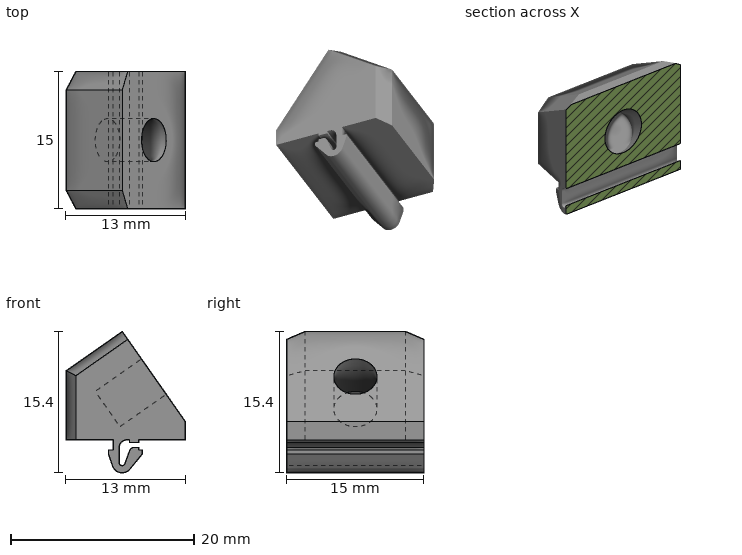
import cadquery as cq
import math

width = 15.0
length = 13.0
total_height = 15.43
clip_depth = 3.6
apex_z = total_height - clip_depth
front_wall = 1.99
slope_angle = math.radians(55)
apex_x = length - (apex_z - front_wall) / math.tan(slope_angle)
back_wall = apex_z - apex_x / math.tan(slope_angle)

bevel_inset = 1.05
bevel_width = 2.0

hole_diameter = 4.7
hole_depth = 6.17

stem_left = 5.1
stem_right = 5.79
barb_left = 4.58
barb_right = 8.32
barb_top = -1.1
barb_bottom = -1.51
slot_radius = 0.31
bend_radius = 1.11
bend_x = stem_right + slot_radius
bend_z = bend_radius - clip_depth
root_radius = 0.83
arm_top = -0.8
arm_right = 7.92
arm_radius = 0.54
arm_lean = math.radians(20)

pad_left = 6.88
pad_depth = 0.3


def polar(center_x, center_z, radius, angle):
    return (center_x + radius * math.cos(angle), center_z + radius * math.sin(angle))


def bend_tangent(x, z, side):
    """Point where the line from (x, z) touches the bend; side is +1 or -1."""
    dx = x - bend_x
    dz = z - bend_z
    angle = math.atan2(dz, dx) + side * math.acos(bend_radius / math.hypot(dx, dz))
    return polar(bend_x, bend_z, bend_radius, angle)


def prism(profile):
    """Extrude a closed XZ profile over the full width."""
    return profile.extrude(width / 2, both=True)


def make_body():
    outline = [
        (0, 0),
        (length, 0),
        (length, front_wall),
        (apex_x, apex_z),
        (0, back_wall),
    ]
    body = prism(cq.Workplane("XZ").polyline(outline).close())

    half = width / 2
    keep_outline = [
        (0, -half + bevel_width),
        (bevel_inset, -half),
        (2 * total_height, -half),
        (2 * total_height, half),
        (bevel_inset, half),
        (0, half - bevel_width),
    ]
    for origin, inward, normal in [
        ((0, 0, -total_height), (1, 0, 0), (0, 0, 1)),
        (
            (-total_height * math.sin(slope_angle), 0, back_wall - total_height * math.cos(slope_angle)),
            (math.cos(slope_angle), 0, -math.sin(slope_angle)),
            (math.sin(slope_angle), 0, math.cos(slope_angle)),
        ),
    ]:
        plane = cq.Plane(origin=origin, xDir=inward, normal=normal)
        body = body.intersect(cq.Workplane(plane).polyline(keep_outline).close().extrude(3 * total_height))
    return body


def make_hole():
    mouth = ((apex_x + length) / 2, 0, (apex_z + front_wall) / 2)
    into_body = (-math.sin(slope_angle), 0, -math.cos(slope_angle))
    plane = cq.Plane(origin=mouth, xDir=(0, 1, 0), normal=into_body)
    return cq.Workplane(plane).circle(hole_diameter / 2).extrude(hole_depth)


def make_clip():
    down = -math.pi / 2
    slot_end = polar(bend_x, bend_z, slot_radius, -arm_lean)

    tip_z = arm_top - arm_radius
    side_reach = slot_radius + arm_radius + (tip_z - bend_z) * math.sin(arm_lean)
    tip_x = bend_x + side_reach / math.cos(arm_lean)
    tip_start = polar(tip_x, tip_z, arm_radius, math.pi - arm_lean)
    tip_middle = polar(tip_x, tip_z, arm_radius, (3 * math.pi / 2 - arm_lean) / 2)

    root_x = stem_right + root_radius
    root_middle = polar(root_x, -root_radius, root_radius, 3 * math.pi / 4)

    profile = (
        cq.Workplane("XZ")
        .moveTo(stem_left, 0)
        .lineTo(stem_left, barb_top)
        .lineTo(barb_left, barb_top)
        .lineTo(barb_left, barb_bottom)
        .lineTo(*bend_tangent(barb_left, barb_bottom, 1))
        .threePointArc((bend_x, bend_z - bend_radius), bend_tangent(barb_right, barb_bottom, -1))
        .lineTo(barb_right, barb_bottom)
        .lineTo(barb_right, barb_top)
        .lineTo(arm_right, barb_top)
        .lineTo(arm_right, arm_top)
        .lineTo(tip_x, arm_top)
        .threePointArc(tip_middle, tip_start)
        .lineTo(*slot_end)
        .threePointArc(polar(bend_x, bend_z, slot_radius, down), (stem_right, bend_z))
        .lineTo(stem_right, -root_radius)
        .threePointArc(root_middle, (root_x, 0))
        .close()
    )
    return prism(profile)


def make_pad():
    pad_length = arm_right - pad_left
    pad = cq.Workplane("XY").box(pad_length, width, pad_depth, centered=(False, True, False))
    return pad.translate((pad_left, 0, -pad_depth))


result = make_body().cut(make_hole()).union(make_clip()).union(make_pad())